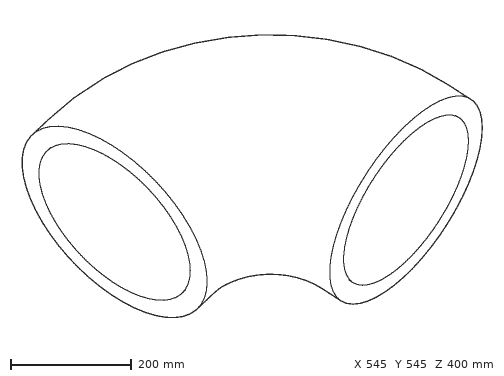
import cadquery as cq

overall_length = 545.0
outer_diameter = 400.0
bore_diameter = 327.0
collar_length = 45.0
bend_angle = 90

bend_radius = overall_length - outer_diameter / 2 - collar_length


def pipe_section(plane, center_offset):
    """Ring-shaped pipe section, offset from the bend centre at the origin."""
    return (
        cq.Workplane(plane)
        .center(center_offset, 0)
        .circle(outer_diameter / 2)
        .circle(bore_diameter / 2)
    )


bend_axis_start = (bend_radius, 0)
bend_axis_end = (bend_radius, -1)
bend = pipe_section("XZ", -bend_radius).revolve(bend_angle, bend_axis_start, bend_axis_end)

front_collar = pipe_section("XZ", -bend_radius).extrude(collar_length)
side_collar = pipe_section("YZ", bend_radius).extrude(collar_length)

result = bend.union(front_collar).union(side_collar)